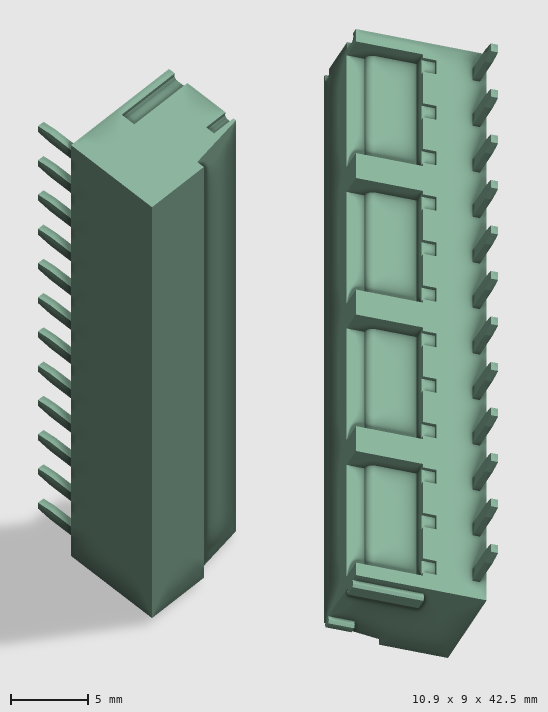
import cadquery as cq
import math

total_x = 10.9
depth_y = 9.0
total_z = 42.55

rail_height = 0.55
body_x = 7.4
body_z = total_z - rail_height
front_step_inset = 0.6
front_top_inset = 1.28
front_step_drop = 4.25

pin_count = 12
pin_pitch = body_z / pin_count
pin_length = total_x - body_x
pin_width = 0.9
pin_thickness = 0.5
pin_offset = 0.45
pin_tip_width = 0.6
pin_taper_length = 1.1

pins_per_window = 3
window_pitch = pins_per_window * pin_pitch
window_rib = 1.9
window_height = window_pitch - window_rib
window_reach = 4.65
window_depth = 1.25
lip_depth = 1.8
lip_reach = 1.25
lip_radius = lip_depth - window_depth

notch_height = 1.05
notch_reach = 0.95
notch_depth = 0.3

joints = [
    (1.1, 1.15, 4.9),
    (5.55, 0.72, 1.8),
]
joint_bevel = 0.105
joint_bevel_height = 0.2
groove_clearance = 0.05


def make_housing():
    return (
        cq.Workplane("XY")
        .moveTo(0, 0)
        .lineTo(body_x, 0)
        .lineTo(body_x, depth_y - front_step_drop)
        .lineTo(body_x - front_step_inset, depth_y - front_step_drop)
        .lineTo(body_x - front_top_inset, depth_y)
        .lineTo(0, depth_y)
        .close()
        .extrude(body_z)
    )


def make_window(bottom_z):
    """Open window with a rounded edge down to the deeper strip at +Y."""
    inner_y = depth_y - window_reach
    lip_y = depth_y - lip_reach
    diagonal = lip_radius * math.sqrt(0.5)
    arc_centre_x = window_depth + lip_radius
    arc_centre_y = lip_y - lip_radius
    return (
        cq.Workplane("XY", origin=(0, 0, bottom_z))
        .moveTo(0, inner_y)
        .lineTo(window_depth, inner_y)
        .lineTo(window_depth, arc_centre_y)
        .threePointArc(
            (arc_centre_x - diagonal, arc_centre_y + diagonal),
            (lip_depth, lip_y),
        )
        .lineTo(lip_depth, depth_y)
        .lineTo(0, depth_y)
        .close()
        .extrude(window_height)
    )


def make_notch(centre_z):
    return cq.Workplane("XY").box(
        notch_depth, notch_reach, notch_height, centered=(False, False, True)
    ).translate((0, depth_y - window_reach - notch_reach, centre_z))


def make_pin(centre_z):
    """Flat pin along -X, tapered in Z at its tip."""
    half_width = pin_width / 2
    half_tip = pin_tip_width / 2
    taper_x = pin_taper_length - pin_length
    return (
        cq.Workplane("XZ", origin=(0, pin_offset, centre_z))
        .moveTo(0, -half_width)
        .lineTo(taper_x, -half_width)
        .lineTo(-pin_length, -half_tip)
        .lineTo(-pin_length, half_tip)
        .lineTo(taper_x, half_width)
        .lineTo(0, half_width)
        .close()
        .extrude(-pin_thickness)
    )


def make_joint(centre_x, length, base_z, half_root, half_width, half_tip):
    """Dovetail bar hanging below base_z, with a tapered tip."""
    widest_z = joint_bevel_height - rail_height
    return (
        cq.Workplane("XZ", origin=(centre_x, depth_y, base_z))
        .moveTo(-half_root, 0)
        .lineTo(-half_width, widest_z)
        .lineTo(-half_tip, -rail_height)
        .lineTo(half_tip, -rail_height)
        .lineTo(half_width, widest_z)
        .lineTo(half_root, 0)
        .close()
        .extrude(length)
    )


def make_rail(centre_x, width, length):
    half_width = width / 2
    half_bevelled = half_width - joint_bevel
    return make_joint(centre_x, length, 0, half_bevelled, half_width, half_bevelled)


def make_groove(centre_x, width, length):
    """Groove whose mouth is as wide as the rail and whose floor is narrower."""
    half_mouth = width / 2
    half_width = half_mouth + groove_clearance
    half_floor = half_mouth - joint_bevel
    return make_joint(centre_x, length, body_z, half_mouth, half_width, half_floor)


result = make_housing()

for window_index in range(pin_count // pins_per_window):
    window_bottom = window_index * window_pitch + window_rib / 2
    result = result.cut(make_window(window_bottom))

for pin_index in range(pin_count):
    pin_z = (pin_index + 0.5) * pin_pitch
    result = result.cut(make_notch(pin_z)).union(make_pin(pin_z))

for joint in joints:
    result = result.cut(make_groove(*joint)).union(make_rail(*joint))